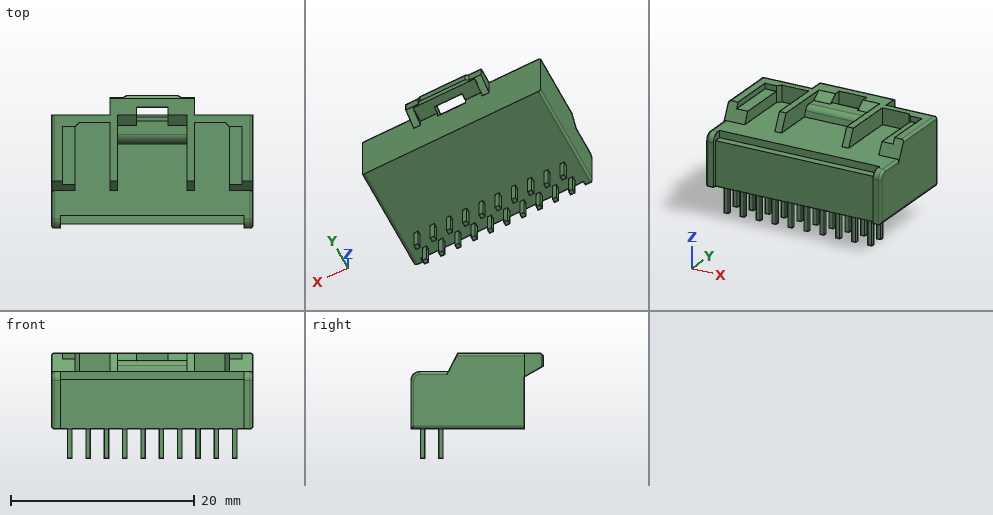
import cadquery as cq

width = 22.0
depth = 12.39
deck_height = 6.27
wall_height = 8.27
front_round = 1.0
side_round = 0.3
slope_top_y = 5.13
slope_foot_y = 4.1

panel_width = 20.06
panel_setback = 0.45
ledge_depth = 1.39
ledge_height = 5.41

wall_thickness = 0.84
rib_outer_x = 4.65
rib_inner_x = rib_outer_x - wall_thickness
side_pocket_outer_x = 8.43
side_pocket_back_y = depth - wall_thickness
pocket_chamfer = 0.46
shelf_outer_x = 9.83
shelf_height = 7.61

catch_height = 7.45
catch_foot_y = 9.2
catch_bend_y = 9.42
catch_bend_z = 6.93
catch_flat_y = 10.2
ramp_foot_y = 11.25

nose_length_y = 14.5
nose_shoulder_y = 14.3
nose_top_y = 14.15
nose_face_top_z = 7.99
nose_face_bottom_z = 6.86
nose_root_z = 5.68
nose_underside_z = 6.69
nose_tip_half = 2.77
nose_taper_half = 3.15
window_half = 1.72
window_back_y = 13.2
catch_back_y = 11.7
window_edge_chamfer = 0.26

pin_size = 0.5
pin_length = 3.23
pin_pitch = 2.0
pins_per_row = 10
pin_rows = 2
front_row_y = 1.28


def block(x0, x1, y0, y1, z0, z1):
    """Box between two opposite corners."""
    return cq.Workplane("XY").box(x1 - x0, y1 - y0, z1 - z0, centered=False).translate((x0, y0, z0))


def side_prism(points, half_width):
    """Extrude a (y, z) outline evenly to both sides of X = 0."""
    return cq.Workplane("YZ").polyline(points).close().extrude(half_width, both=True)


def make_lower_body():
    body = block(-width / 2, width / 2, 0, depth, 0, deck_height)
    body = body.edges("|X and <Y and >Z").fillet(front_round)
    outline = body.faces("<X or >X").edges("not >Y")
    return body.newObject(outline.vals()).fillet(side_round)


def make_upper_body():
    """Raised block with a leaning front; its foot is sunk into the lower body."""
    sink_z = deck_height - side_round
    lean = (slope_top_y - slope_foot_y) / (wall_height - deck_height)
    sunk_foot_y = slope_foot_y - lean * side_round
    base_z = deck_height / 2
    leaning = side_prism(
        [
            (sunk_foot_y, sink_z),
            (slope_top_y, wall_height),
            (depth, wall_height),
            (depth, base_z),
            (sunk_foot_y, base_z),
        ],
        width,
    )
    rounded = block(-width / 2, width / 2, 0, depth, base_z, wall_height).edges("|Y and >Z").fillet(side_round)
    return rounded.intersect(leaning)


def make_side_pocket():
    """Pocket cutter for the +X side, open to the front, with a shelf step along the end wall."""
    pocket = block(rib_outer_x, side_pocket_outer_x, 0, side_pocket_back_y, deck_height, wall_height)
    pocket = pocket.edges("|Z and >X and >Y").chamfer(pocket_chamfer)
    shelf_back_y = side_pocket_back_y - pocket_chamfer
    shelf = block(rib_outer_x, shelf_outer_x, 0, shelf_back_y, shelf_height, wall_height)
    return pocket.union(shelf)


def make_front_recess():
    panel = block(-panel_width / 2, panel_width / 2, 0, panel_setback, 0, deck_height)
    ledge = block(-panel_width / 2, panel_width / 2, 0, ledge_depth, ledge_height, deck_height)
    return panel.union(ledge)


def make_catch():
    return (
        cq.Workplane("YZ")
        .moveTo(ramp_foot_y, catch_height)
        .lineTo(catch_flat_y, catch_height)
        .tangentArcPoint((catch_bend_y, catch_bend_z), relative=False)
        .lineTo(catch_foot_y, deck_height)
        .lineTo(depth, deck_height)
        .lineTo(depth, wall_height)
        .close()
        .extrude(rib_inner_x, both=True)
    )


def make_nose():
    profile = side_prism(
        [
            (depth, nose_root_z),
            (depth, wall_height),
            (nose_top_y, wall_height),
            (nose_length_y, nose_face_top_z),
            (nose_length_y, nose_face_bottom_z),
        ],
        rib_outer_x,
    )
    plan = (
        cq.Workplane("XY")
        .polyline(
            [
                (-rib_outer_x, depth),
                (-rib_outer_x, nose_shoulder_y),
                (-nose_taper_half, nose_shoulder_y),
                (-nose_tip_half, nose_length_y),
                (nose_tip_half, nose_length_y),
                (nose_taper_half, nose_shoulder_y),
                (rib_outer_x, nose_shoulder_y),
                (rib_outer_x, depth),
            ]
        )
        .close()
        .extrude(wall_height)
    )
    between_gussets = block(-rib_inner_x, rib_inner_x, depth, nose_length_y, 0, nose_underside_z)
    return profile.intersect(plan).cut(between_gussets)


def make_window():
    """Window cutter: clears the ramp, drops behind the catch and bevels the back edge of the deck."""
    above_catch = block(-window_half, window_half, ramp_foot_y, window_back_y, catch_height, wall_height)
    behind_catch = block(-window_half, window_half, catch_back_y, window_back_y, deck_height, wall_height)
    behind_body = block(-window_half, window_half, depth, window_back_y, 0, wall_height)
    bevel = side_prism(
        [
            (depth - window_edge_chamfer, deck_height),
            (depth, deck_height),
            (depth, deck_height - window_edge_chamfer),
        ],
        window_half,
    )
    return above_catch.union(behind_catch).union(behind_body).union(bevel)


def make_pins():
    places = [
        ((column - (pins_per_row - 1) / 2) * pin_pitch, front_row_y + row * pin_pitch)
        for row in range(pin_rows)
        for column in range(pins_per_row)
    ]
    return cq.Workplane("XY").pushPoints(places).rect(pin_size, pin_size).extrude(-pin_length)


side_pocket = make_side_pocket()
centre_pocket = block(-rib_inner_x, rib_inner_x, 0, depth, deck_height, wall_height)

result = make_lower_body().union(make_upper_body())
result = result.cut(side_pocket).cut(side_pocket.mirror("YZ")).cut(centre_pocket)
result = result.cut(make_front_recess())
result = result.union(make_nose()).union(make_catch()).cut(make_window())
result = result.union(make_pins())